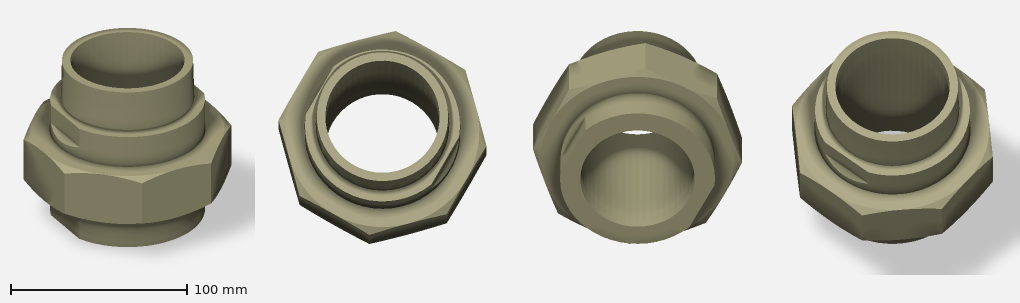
import cadquery as cq
import math

NUT_WIDTH = 110.0
NUT_SIDES = 8
NUT_BOTTOM = 21.2
NUT_TOP = 52.6
CHAMFER_ANGLE = 30.0
NUT_CLEARANCE = 0.4

BORE_RADIUS = 32.5
COLLAR_RADIUS = 44.0
JOINT_HEIGHT = (NUT_BOTTOM + NUT_TOP) / 2
COLLAR_TOP = 71.7
TOTAL_HEIGHT = 97.0

NECK_RADIUS = 37.4
NECK_HEIGHT = 1.3
SPIGOT_BASE_RADIUS = 38.0
SPIGOT_TOP_RADIUS = 37.3

FLAT_DISTANCE = 41.0
BODY_FLAT_END = 14.5
TAILPIECE_FLAT_END = 59.8
FLAT_RUNOUT = 3.1


def revolve_profile(points):
    """Revolve (radius, height) points around the Z axis."""
    profile = [(-radius, height) for radius, height in points]
    return cq.Workplane("YZ").polyline(profile).close().revolve(360, (0, 0), (0, 1))


def cut_wrench_flats(solid, outer_end, flat_end, runout_direction):
    """Cut two opposite flats whose inner ends slope out to the collar surface."""
    slope = (COLLAR_RADIUS - FLAT_DISTANCE) / FLAT_RUNOUT
    reach = 2 * FLAT_RUNOUT
    outside = FLAT_DISTANCE + slope * reach
    for side in (-1, 1):
        cutter = (
            cq.Workplane("YZ")
            .polyline([
                (side * FLAT_DISTANCE, outer_end),
                (side * FLAT_DISTANCE, flat_end),
                (side * outside, flat_end + runout_direction * reach),
                (side * outside, outer_end),
            ])
            .close()
            .extrude(COLLAR_RADIUS, both=True)
        )
        solid = solid.cut(cutter)
    return solid


def make_body():
    """Lower sleeve with wrench flats."""
    sleeve = revolve_profile([
        (BORE_RADIUS, 0),
        (COLLAR_RADIUS, 0),
        (COLLAR_RADIUS, JOINT_HEIGHT),
        (BORE_RADIUS, JOINT_HEIGHT),
    ])
    return cut_wrench_flats(sleeve, 0, BODY_FLAT_END, 1)


def make_tailpiece():
    """Upper sleeve with wrench flats, a short neck and a tapered spigot."""
    neck_top = COLLAR_TOP + NECK_HEIGHT
    sleeve = revolve_profile([
        (BORE_RADIUS, JOINT_HEIGHT),
        (COLLAR_RADIUS, JOINT_HEIGHT),
        (COLLAR_RADIUS, COLLAR_TOP),
        (NECK_RADIUS, COLLAR_TOP),
        (NECK_RADIUS, neck_top),
        (SPIGOT_BASE_RADIUS, neck_top),
        (SPIGOT_TOP_RADIUS, TOTAL_HEIGHT),
        (BORE_RADIUS, TOTAL_HEIGHT),
    ])
    return cut_wrench_flats(sleeve, COLLAR_TOP, TAILPIECE_FLAT_END, -1)


def make_nut():
    """Octagonal nut, corners chamfered at both ends, clear of the tailpiece."""
    flat_radius = NUT_WIDTH / 2
    half_corner = 180 / NUT_SIDES
    corner_radius = flat_radius / math.cos(math.radians(half_corner))
    chamfer_radius = corner_radius + 1.1
    drop = (chamfer_radius - flat_radius) * math.tan(math.radians(CHAMFER_ANGLE))
    prism = (
        cq.Workplane("XY", origin=(0, 0, NUT_BOTTOM))
        .transformed(rotate=(0, 0, half_corner))
        .polygon(NUT_SIDES, 2 * corner_radius)
        .extrude(NUT_TOP - NUT_BOTTOM)
    )
    clear_radius = COLLAR_RADIUS + NUT_CLEARANCE
    envelope = revolve_profile([
        (COLLAR_RADIUS, NUT_BOTTOM),
        (flat_radius, NUT_BOTTOM),
        (chamfer_radius, NUT_BOTTOM + drop),
        (chamfer_radius, NUT_TOP - drop),
        (flat_radius, NUT_TOP),
        (clear_radius, NUT_TOP),
        (clear_radius, JOINT_HEIGHT),
        (COLLAR_RADIUS, JOINT_HEIGHT),
    ])
    return prism.intersect(envelope)


body = make_body()
tailpiece = make_tailpiece()
nut = make_nut()

result = cq.Compound.makeCompound([
    body.solids().val(),
    tailpiece.solids().val(),
    nut.solids().val(),
])